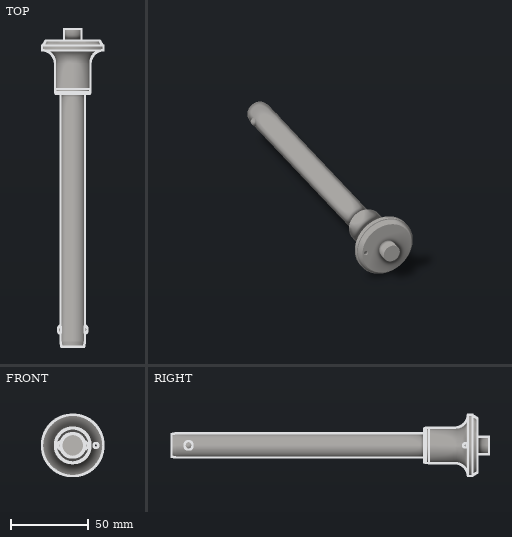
import cadquery as cq
import math


shank_radius = 8.0
shank_length = 164.0
tip_length = 3.3
tip_radius = 7.4

sleeve_radius = 11.6
collar_radius = 11.5
collar_nose_radius = 11.0
collar_nose_length = 1.2
collar_length = 3.2
flange_radius = 20.0
flange_rim_width = 3.2
flare_radius = 8.3
handle_length = 34.7
bevel_width = 3.2
bevel_outer_radius = 19.4
flange_back_radius = 17.5

button_radius = 5.75
button_length = 7.5

ball_radius = 2.9
ball_span = 19.4
ball_to_tip = 11.2

lanyard_hole_diameter = 3.0
lanyard_hole_offset = 15.0

tip_y = -shank_length
bevel_y = handle_length - bevel_width
rim_y = bevel_y - flange_rim_width
flare_y = rim_y - flare_radius
button_end_y = handle_length + button_length


def make_body():
    """Revolve the shank, handle and button as one profile of radius (X) along the axis (Y)."""
    flare_inset = flare_radius * (1 - math.sqrt(0.5))
    flare_middle = (sleeve_radius + flare_inset, rim_y - flare_inset)
    flare_end = (sleeve_radius + flare_radius, rim_y)
    profile = (
        cq.Workplane("XY")
        .moveTo(0, tip_y)
        .lineTo(tip_radius, tip_y)
        .lineTo(shank_radius, tip_y + tip_length)
        .lineTo(shank_radius, 0)
        .lineTo(collar_nose_radius, 0)
        .lineTo(collar_radius, collar_nose_length)
        .lineTo(collar_radius, collar_length)
        .lineTo(sleeve_radius, collar_length)
        .lineTo(sleeve_radius, flare_y)
        .threePointArc(flare_middle, flare_end)
        .lineTo(flange_radius, rim_y)
        .lineTo(flange_radius, bevel_y)
        .lineTo(bevel_outer_radius, bevel_y)
        .lineTo(flange_back_radius, handle_length)
        .lineTo(button_radius, handle_length)
        .lineTo(button_radius, button_end_y)
        .lineTo(0, button_end_y)
        .close()
    )
    return profile.revolve(360, (0, 0, 0), (0, 1, 0))


def make_ball(side):
    """Locking ball that stands out of the shank on the given side (+1 or -1) of X."""
    center_x = side * (ball_span / 2 - ball_radius)
    return cq.Workplane("XY").sphere(ball_radius).translate((center_x, tip_y + ball_to_tip, 0))


def make_lanyard_hole():
    """Cutter parallel to the axis, running through the flare and the flange."""
    return (
        cq.Workplane("XZ", origin=(lanyard_hole_offset, flare_y, 0))
        .circle(lanyard_hole_diameter / 2)
        .extrude(flare_y - handle_length)
    )


result = make_body()
for side in (-1, 1):
    result = result.union(make_ball(side))
result = result.cut(make_lanyard_hole())